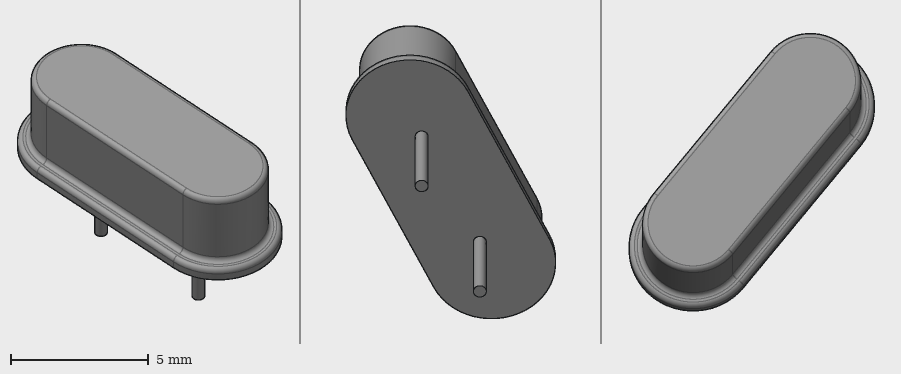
import cadquery as cq

flange_length = 11.5
flange_width = 4.66
flange_height = 0.5
flange_edge_radius = 0.2

rim_width = 0.5
can_height = 3.5
can_top_radius = 0.2
foot_radius = 0.2

pin_diameter = 0.47
pin_spacing = 4.89
pin_length = 3.6

can_length = flange_length - 2 * rim_width
can_width = flange_width - 2 * rim_width

margin = 0.01


def make_can():
    """Stadium-shaped can on a rounded flange, resting on the XY plane."""
    flange = cq.Workplane("XY").slot2D(flange_length, flange_width).extrude(flange_height)
    flange = flange.faces(">Z").edges().fillet(flange_edge_radius)

    body = cq.Workplane("XY").slot2D(can_length, can_width).extrude(can_height)
    body = body.faces(">Z").edges().fillet(can_top_radius)

    foot_edges = cq.selectors.BoxSelector(
        (-can_length / 2 - margin, -can_width / 2 - margin, flange_height - margin),
        (can_length / 2 + margin, can_width / 2 + margin, flange_height + margin),
        boundingbox=True,
    )
    return flange.union(body).edges(foot_edges).fillet(foot_radius)


def make_pin(x):
    """Round lead hanging from the underside of the can."""
    return cq.Workplane("XY").center(x, 0).circle(pin_diameter / 2).extrude(-pin_length)


can = make_can()
pins = [make_pin(side * pin_spacing / 2) for side in (-1, 1)]

result = cq.Compound.makeCompound([can.val(), *[pin.val() for pin in pins]])